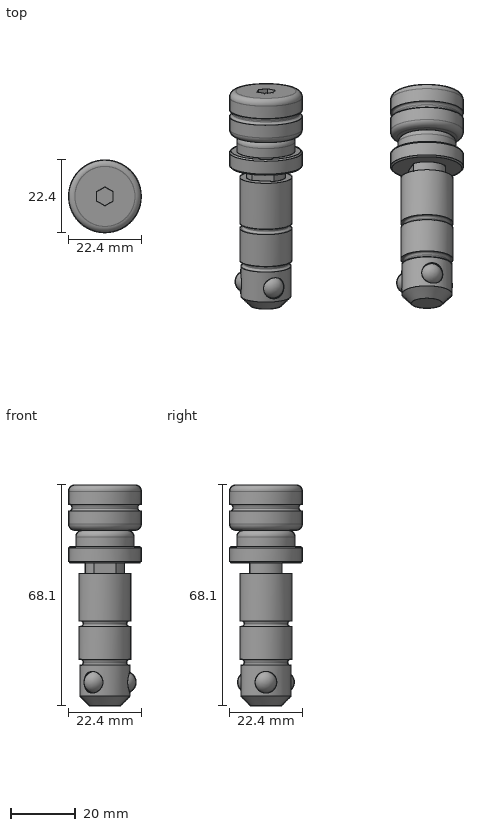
import cadquery as cq
import math


knob_radius = 11.2
knob_height = 14.0
knob_edge_radius = 2.0
knob_groove_depth = 1.0
knob_groove_width = 2.05
knob_groove_corner_radius = 0.8
hex_sides = 6
hex_across_flats = 5.05
hex_depth = hex_across_flats

flange_radius = knob_radius
flange_height = 5.05
flange_chamfer = 0.5
boss_radius = 9.0
boss_height = 5.0
boss_edge_radius = 2.0

stem_radius = 6.05
stem_across_flats = 10.0
stem_height = 3.3

shank_radius = 8.0
tip_radius = 7.75
tip_chamfer = 3.0
shank_groove_radius = 6.75
shank_groove_corner_radius = 0.75
upper_groove_bottom = 24.5
upper_groove_width = 1.6
lower_groove_bottom = 12.5
lower_groove_width = 1.8

ball_count = 3
ball_radius = 3.35
ball_center_radius = 6.25
ball_height = 7.3

total_height = 68.1
knob_bottom = total_height - knob_height
flange_top = knob_bottom - boss_height
flange_bottom = flange_top - flange_height
shank_top = flange_bottom - stem_height


def cylinder(radius, bottom, height):
    return cq.Workplane("XY").workplane(offset=bottom).circle(radius).extrude(height)


def groove_cutter(floor_radius, outer_radius, bottom, width, corner_radius):
    """Ring that cuts a groove whose floor meets both walls in rounded corners."""
    top = bottom + width
    knee_radius = floor_radius + corner_radius
    bend = corner_radius * (1 - math.sqrt(0.5))
    profile = (
        cq.Workplane("XZ")
        .moveTo(outer_radius, bottom)
        .lineTo(knee_radius, bottom)
        .threePointArc((floor_radius + bend, bottom + bend), (floor_radius, bottom + corner_radius))
        .lineTo(floor_radius, top - corner_radius)
        .threePointArc((floor_radius + bend, top - bend), (knee_radius, top))
        .lineTo(outer_radius, top)
        .close()
    )
    return profile.revolve(360, (0, 0, 0), (0, 1, 0))


def ball_angles():
    return [index * 360 / ball_count for index in range(ball_count)]


def make_ball(angle):
    ball = cq.Workplane("XY").sphere(ball_radius).translate((ball_center_radius, 0, ball_height))
    return ball.rotate((0, 0, 0), (0, 0, 1), angle)


def ball_pocket(angle):
    """Round-bottomed radial hole that seats one ball and runs out through the tip wall."""
    bore = (
        cq.Workplane("YZ", origin=(ball_center_radius, 0, ball_height))
        .circle(ball_radius)
        .extrude(ball_radius)
        .rotate((0, 0, 0), (0, 0, 1), angle)
    )
    return make_ball(angle).union(bore)


def make_knob():
    knob = cylinder(knob_radius, knob_bottom, knob_height).edges().fillet(knob_edge_radius)
    groove_bottom = knob_bottom + (knob_height - knob_groove_width) / 2
    groove = groove_cutter(
        knob_radius - knob_groove_depth,
        knob_radius,
        groove_bottom,
        knob_groove_width,
        knob_groove_corner_radius,
    )
    hex_across_corners = hex_across_flats / math.cos(math.pi / hex_sides)
    socket = (
        cq.Workplane("XY")
        .workplane(offset=total_height - hex_depth)
        .transformed(rotate=(0, 0, 90))
        .polygon(hex_sides, hex_across_corners)
        .extrude(hex_depth)
    )
    return knob.cut(groove).cut(socket)


def make_collar():
    flange = cylinder(flange_radius, flange_bottom, flange_height).edges().chamfer(flange_chamfer)
    boss = cylinder(boss_radius, flange_top, boss_height).faces(">Z").edges().fillet(boss_edge_radius)
    return flange.union(boss)


def make_stem():
    flats = (
        cq.Workplane("XY")
        .workplane(offset=shank_top)
        .rect(2 * stem_radius, stem_across_flats)
        .extrude(stem_height)
    )
    return cylinder(stem_radius, shank_top, stem_height).intersect(flats)


def make_shank():
    tip = cylinder(tip_radius, 0, lower_groove_bottom).faces("<Z").edges().chamfer(tip_chamfer)
    barrel = cylinder(shank_radius, lower_groove_bottom, shank_top - lower_groove_bottom)
    shank = tip.union(barrel)
    for bottom, width in (
        (lower_groove_bottom, lower_groove_width),
        (upper_groove_bottom, upper_groove_width),
    ):
        groove = groove_cutter(shank_groove_radius, shank_radius, bottom, width, shank_groove_corner_radius)
        shank = shank.cut(groove)
    for angle in ball_angles():
        shank = shank.cut(ball_pocket(angle))
    return shank


knob = make_knob()
collar = make_collar()
stem = make_stem()
shank = make_shank()
balls = [make_ball(angle) for angle in ball_angles()]

result = cq.Compound.makeCompound(
    [knob.val(), collar.val(), stem.val(), shank.val(), *[ball.val() for ball in balls]]
)